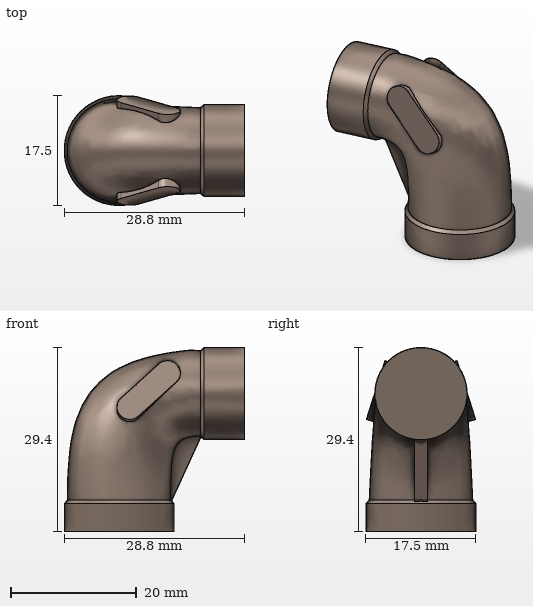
import cadquery as cq
import math

TOTAL_HEIGHT = 29.35
LARGE_DIAMETER = 17.53
SMALL_DIAMETER = 14.7
LARGE_RADIUS = LARGE_DIAMETER / 2
SMALL_RADIUS = SMALL_DIAMETER / 2
TOTAL_LENGTH = 28.77
END_FACE_X = TOTAL_LENGTH - LARGE_RADIUS
SMALL_AXIS_Z = TOTAL_HEIGHT - SMALL_RADIUS

LARGE_COLLAR_HEIGHT = 4.45
SMALL_COLLAR_LENGTH = 6.45
CONE_LENGTH = 0.55
NECK_STEP = 0.5
LARGE_NECK_RADIUS = LARGE_RADIUS - NECK_STEP
SMALL_NECK_RADIUS = SMALL_RADIUS - NECK_STEP
BEND_START_Z = LARGE_COLLAR_HEIGHT + CONE_LENGTH
BEND_END_X = END_FACE_X - SMALL_COLLAR_LENGTH - CONE_LENGTH

OUTER_START_REACH = 12.33
OUTER_END_REACH = 20.05
OUTER_END_DROP = 0.47
INNER_START_REACH = 8.7
INNER_END_REACH = 4.23
BEND_STEPS = 8

RIB_THICKNESS = 2.0
RIB_OVERHANG = 0.15

PLATE_CENTER_X = 4.7
PLATE_CENTER_Y = 7.22
PLATE_CENTER_Z = 22.58
PLATE_LEAN = 17.5
PLATE_TURN = 43.5
PLATE_WIDTH = 4.1
PLATE_LENGTH = 12.4
PLATE_DEPTH = 2.35


def cubic_point(controls, t):
    """Point (x, z) at parameter t on the cubic Bezier curve of four controls."""
    weights = [math.comb(3, i) * t**i * (1 - t) ** (3 - i) for i in range(4)]
    x = sum(w * p[0] for w, p in zip(weights, controls))
    z = sum(w * p[1] for w, p in zip(weights, controls))
    return x, z


def bend_section(outer, inner, half_width):
    """Ellipse spanning the outer and inner profile points, half_width to each side in Y."""
    center = cq.Vector((outer[0] + inner[0]) / 2, 0, (outer[1] + inner[1]) / 2)
    across = cq.Vector(inner[0] - outer[0], 0, inner[1] - outer[1])
    normal = across.cross(cq.Vector(0, 1, 0))
    return cq.Wire.makeEllipse(across.Length / 2, half_width, center, normal, across)


def make_bend():
    outer_end_z = SMALL_AXIS_Z + SMALL_NECK_RADIUS
    inner_end_z = SMALL_AXIS_Z - SMALL_NECK_RADIUS
    outer = [
        (-LARGE_NECK_RADIUS, BEND_START_Z),
        (-LARGE_NECK_RADIUS, BEND_START_Z + OUTER_START_REACH),
        (BEND_END_X - OUTER_END_REACH, outer_end_z - OUTER_END_DROP),
        (BEND_END_X, outer_end_z),
    ]
    inner = [
        (LARGE_NECK_RADIUS, BEND_START_Z),
        (LARGE_NECK_RADIUS, BEND_START_Z + INNER_START_REACH),
        (BEND_END_X - INNER_END_REACH, inner_end_z),
        (BEND_END_X, inner_end_z),
    ]
    sections = []
    for step in range(BEND_STEPS + 1):
        t = step / BEND_STEPS
        half_width = LARGE_NECK_RADIUS + t * (SMALL_NECK_RADIUS - LARGE_NECK_RADIUS)
        sections.append(bend_section(cubic_point(outer, t), cubic_point(inner, t), half_width))
    return cq.Workplane(cq.Solid.makeLoft(sections))


def make_collar(end_plane, radius, length):
    """Collar from its end face inwards, closed by the cone to the neck."""
    neck_radius = radius - NECK_STEP
    profile = [
        (0, 0),
        (radius, 0),
        (radius, length),
        (neck_radius, length + CONE_LENGTH),
        (0, length + CONE_LENGTH),
    ]
    return cq.Workplane(end_plane).polyline(profile).close().revolve(360, (0, 0), (0, 1))


def make_rib():
    foot_x = LARGE_NECK_RADIUS + RIB_OVERHANG
    tip_z = SMALL_AXIS_Z - SMALL_NECK_RADIUS - RIB_OVERHANG
    outline = [
        (0, LARGE_COLLAR_HEIGHT),
        (foot_x, LARGE_COLLAR_HEIGHT),
        (foot_x, BEND_START_Z),
        (BEND_END_X, tip_z),
        (BEND_END_X, SMALL_AXIS_Z),
    ]
    return cq.Workplane("XZ").polyline(outline).close().extrude(RIB_THICKNESS / 2, both=True)


def make_plate():
    """Plate on the -Y side, extruded from its outer face into the bend."""
    lean = math.radians(PLATE_LEAN)
    face = cq.Plane(
        origin=(PLATE_CENTER_X, -PLATE_CENTER_Y, PLATE_CENTER_Z),
        xDir=(1, 0, 0),
        normal=(0, -math.cos(lean), math.sin(lean)),
    )
    return cq.Workplane(face).slot2D(PLATE_LENGTH, PLATE_WIDTH, PLATE_TURN).extrude(-PLATE_DEPTH)


large_end = cq.Plane(origin=(0, 0, 0), xDir=(1, 0, 0), normal=(0, -1, 0))
small_end = cq.Plane(origin=(END_FACE_X, 0, SMALL_AXIS_Z), xDir=(0, 0, 1), normal=(0, -1, 0))

plate = make_plate()
result = (
    make_bend()
    .union(make_collar(large_end, LARGE_RADIUS, LARGE_COLLAR_HEIGHT))
    .union(make_collar(small_end, SMALL_RADIUS, SMALL_COLLAR_LENGTH))
    .union(make_rib())
    .union(plate)
    .union(plate.mirror("XZ"))
)